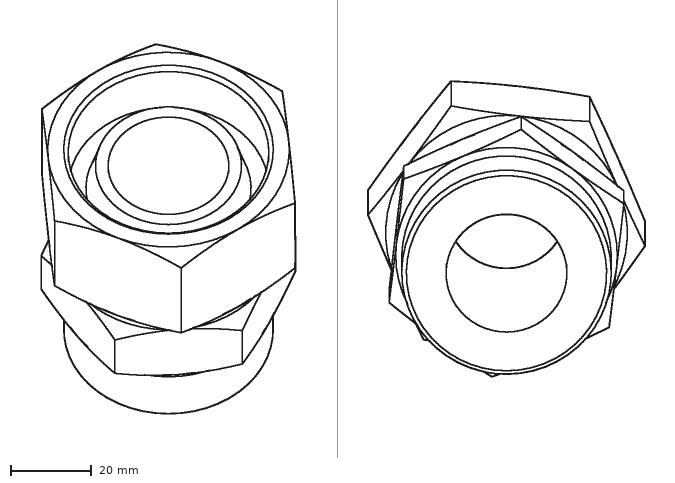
import cadquery as cq
import math

total_height = 76.5
bore_diameter = 30.0

thread_diameter = 52.0
thread_top = 17.9
thread_bottom_chamfer = 1.15
neck_diameter = 49.6
thread_top_chamfer = (thread_diameter - neck_diameter) / 2

body_hex_flats = 55.0
body_hex_bottom = 19.5
body_hex_top = 38.4

nut_flats = 60.0
nut_bottom = 44.0
nut_bore_diameter = 49.8
nut_mouth_diameter = 52.0
nut_mouth_depth = 1.15
nut_floor = 60.35

spigot_tip_diameter = 36.25
spigot_base_diameter = 41.0
spigot_top = 69.8

chamfer_angle = 30.0


def cylinder(diameter, bottom, top):
    return cq.Workplane("XY").workplane(offset=bottom).circle(diameter / 2).extrude(top - bottom)


def cone(bottom_diameter, top_diameter, bottom, top):
    profile = [
        (0, bottom),
        (bottom_diameter / 2, bottom),
        (top_diameter / 2, top),
        (0, top),
    ]
    return cq.Workplane("XZ").polyline(profile).close().revolve(360, (0, 0, 0), (0, 1, 0))


def chamfered_hexagon(flats, bottom, top, rotation):
    """Hexagonal prism with both ends turned conically down to the flats."""
    corner_radius = flats / 2 / math.cos(math.radians(30))
    flat_radius = flats / 2
    drop = (corner_radius - flat_radius) * math.tan(math.radians(chamfer_angle))
    prism = (
        cq.Workplane("XY")
        .workplane(offset=bottom)
        .polygon(6, 2 * corner_radius)
        .extrude(top - bottom)
        .rotate((0, 0, 0), (0, 0, 1), rotation)
    )
    envelope = (
        cq.Workplane("XZ")
        .polyline([
            (0, bottom),
            (flat_radius, bottom),
            (corner_radius, bottom + drop),
            (corner_radius, top - drop),
            (flat_radius, top),
            (0, top),
        ])
        .close()
        .revolve(360, (0, 0, 0), (0, 1, 0))
    )
    return prism.intersect(envelope)


thread = (
    cylinder(thread_diameter, 0, thread_top)
    .faces("<Z").chamfer(thread_bottom_chamfer)
    .faces(">Z").chamfer(thread_top_chamfer)
)
neck = cylinder(neck_diameter, thread_top, nut_bottom)
body_hex = chamfered_hexagon(body_hex_flats, body_hex_bottom, body_hex_top, 0)
nut = chamfered_hexagon(nut_flats, nut_bottom, total_height, 30)

nut_bore = cylinder(nut_bore_diameter, nut_floor, total_height)
nut_mouth = cone(nut_bore_diameter, nut_mouth_diameter, total_height - nut_mouth_depth, total_height)

spigot = cone(spigot_base_diameter, spigot_tip_diameter, nut_floor, spigot_top)

through_bore = cylinder(bore_diameter, 0, total_height)

result = (
    thread.union(neck).union(body_hex).union(nut)
    .cut(nut_bore).cut(nut_mouth)
    .union(spigot)
    .cut(through_bore)
)